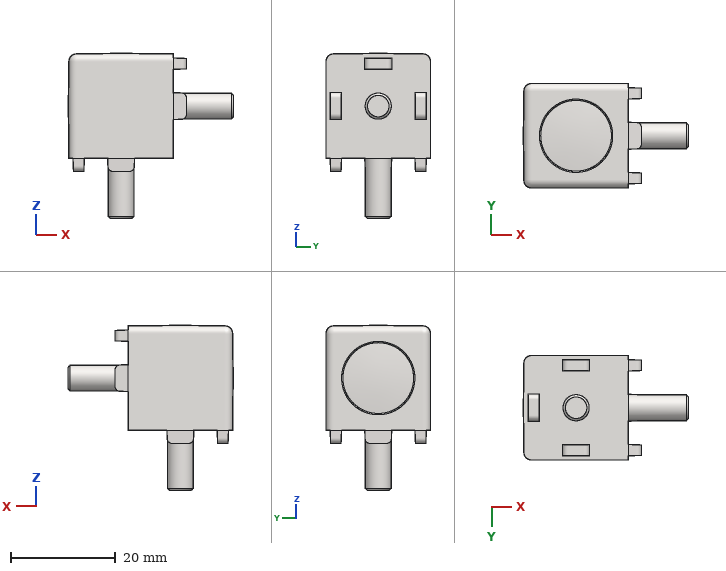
import cadquery as cq

cube_side = 20.0
half_side = cube_side / 2
edge_radius = 1.5

overall_length = 31.65
cap_diameter = 13.5
cap_edge_thickness = 1.0
rim_chamfer = 0.25
cap_edge_z = -cube_side + rim_chamfer
cap_floor_z = cap_edge_z + cap_edge_thickness

screw_diameter = 5.0
screw_reach = 11.5
screw_seat_depth = 4.5
screw_tip_chamfer = 0.45

dome_bulge = overall_length - cube_side - screw_reach

tab_height = 2.5
tab_width = 5.2
tab_thickness = 2.2
tab_edge_gap = 0.8
tab_draft = 2.0
tab_corner_radius = 1.0
tab_offset = half_side - tab_edge_gap - tab_thickness / 2
tab_directions = (-90, 0, 90)

bottom_frame = cq.Plane(origin=(half_side, 0, 0), xDir=(-1, 0, 0), normal=(0, 0, -1))
side_frame = cq.Plane(origin=(cube_side, 0, half_side), xDir=(0, 0, 1), normal=(1, 0, 0))
frames = (bottom_frame, side_frame)


def make_cube():
    """Cube rounded along every edge of its two cap faces that does not meet a screw face."""
    cube = cq.Workplane("XY").box(cube_side, cube_side, cube_side, centered=(False, True, False))
    return cube.edges("(>Z and (|X or <X)) or (<X and |Z)").fillet(edge_radius)


def make_tab(direction):
    """Tab on local +Z, set out from the screw axis and turned to `direction` degrees."""
    return (
        cq.Workplane("XY")
        .rect(tab_thickness, tab_width)
        .extrude(tab_height, taper=tab_draft)
        .faces(">Z")
        .edges("<Y or >Y")
        .fillet(tab_corner_radius)
        .translate((tab_offset, 0, 0))
        .rotate((0, 0, 0), (0, 0, 1), direction)
    )


def make_screw_seat():
    """Cylinder that fills the blind hole of a screw."""
    return cq.Workplane("XY").circle(screw_diameter / 2).extrude(-screw_seat_depth)


def make_screw():
    """Shank along local Z with a chamfered tip, starting inside the block."""
    shank = cq.Workplane("XY").circle(screw_diameter / 2).extrude(screw_reach)
    return shank.faces(">Z").chamfer(screw_tip_chamfer).union(make_screw_seat())


def make_cap_recess():
    """Cutter for a round recess with a chamfered rim, in the face opposite the screw."""
    cap_radius = cap_diameter / 2
    return (
        cq.Workplane("XZ")
        .moveTo(0, -cube_side)
        .lineTo(cap_radius + rim_chamfer, -cube_side)
        .lineTo(cap_radius, cap_edge_z)
        .lineTo(cap_radius, cap_floor_z)
        .lineTo(0, cap_floor_z)
        .close()
        .revolve(360, (0, 0, 0), (0, 1, 0))
    )


def make_cap():
    """Disc with a spherical outer face, filling a recess up to the rim chamfer."""
    cap_radius = cap_diameter / 2
    dome_height = rim_chamfer + dome_bulge
    dome_radius = (cap_radius**2 + dome_height**2) / (2 * dome_height)
    dome_top_z = -cube_side - dome_bulge
    disc = (
        cq.Workplane("XY")
        .workplane(offset=cap_floor_z)
        .circle(cap_radius)
        .extrude(dome_top_z - cap_floor_z)
    )
    ball = cq.Workplane("XZ", origin=(0, 0, dome_top_z + dome_radius)).sphere(dome_radius)
    return disc.intersect(ball)


def place(part, frame):
    """Move a part from the local axes of a screw to its place on the block."""
    return part.val().moved(cq.Location(frame))


block = make_cube()
for frame in frames:
    for direction in tab_directions:
        block = block.union(cq.Workplane(place(make_tab(direction), frame)))
    block = block.cut(cq.Workplane(place(make_cap_recess(), frame)))
    block = block.cut(cq.Workplane(place(make_screw_seat(), frame)))

caps = [place(make_cap(), frame) for frame in frames]
screws = [place(make_screw(), frame) for frame in frames]

result = cq.Compound.makeCompound([block.val(), *caps, *screws])